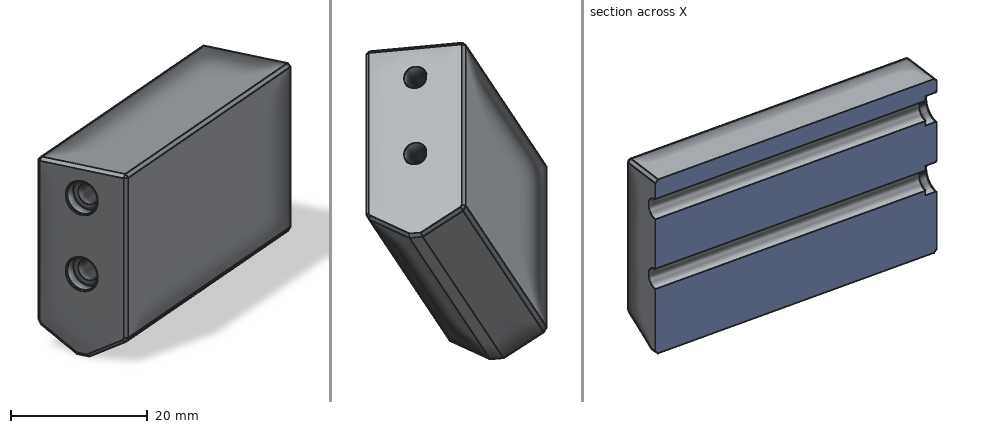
import cadquery as cq
import math

width = 15.0
length = 50.0
height = 30.0

wedge_angle = math.radians(30)
ridge_flat = 2.0

edge_chamfer = 0.5

hole_heights = (13.0, 25.0)
screw_diameter = 3.4
counterbore_diameter = 5.0
counterbore_depth = 2.0
lead_in = 0.2

half_width = width / 2
half_ridge = ridge_flat / 2
shoulder_height = (half_width - half_ridge) * math.tan(wedge_angle)
front = -length / 2
overlap = 1.0


def make_body():
    """Prism with a wedge-shaped underside, its edges chamfered."""
    profile = [
        (-half_ridge, 0),
        (half_ridge, 0),
        (half_width, shoulder_height),
        (half_width, height),
        (-half_width, height),
        (-half_width, shoulder_height),
    ]
    prism = cq.Workplane("XZ").polyline(profile).close().extrude(length / 2, both=True)
    side_edges = prism.faces("<X or >X").edges()
    end_edges = prism.faces("<Y or >Y").edges()
    return side_edges.add(end_edges).chamfer(edge_chamfer)


def make_screw_hole(z):
    """Cutter turned about Y: through hole, counterbore and a lead-in at the front face."""
    screw_radius = screw_diameter / 2
    bore_radius = counterbore_diameter / 2
    seat = front + counterbore_depth
    back = length / 2 + overlap
    half_section = [
        (0, front),
        (bore_radius + lead_in, front),
        (bore_radius, front + lead_in),
        (bore_radius, seat),
        (screw_radius, seat),
        (screw_radius, back),
        (0, back),
    ]
    cutter = cq.Workplane("XY").polyline(half_section).close().revolve(360, (0, 0, 0), (0, 1, 0))
    return cutter.translate((0, 0, z))


result = make_body()
for hole_height in hole_heights:
    result = result.cut(make_screw_hole(hole_height))